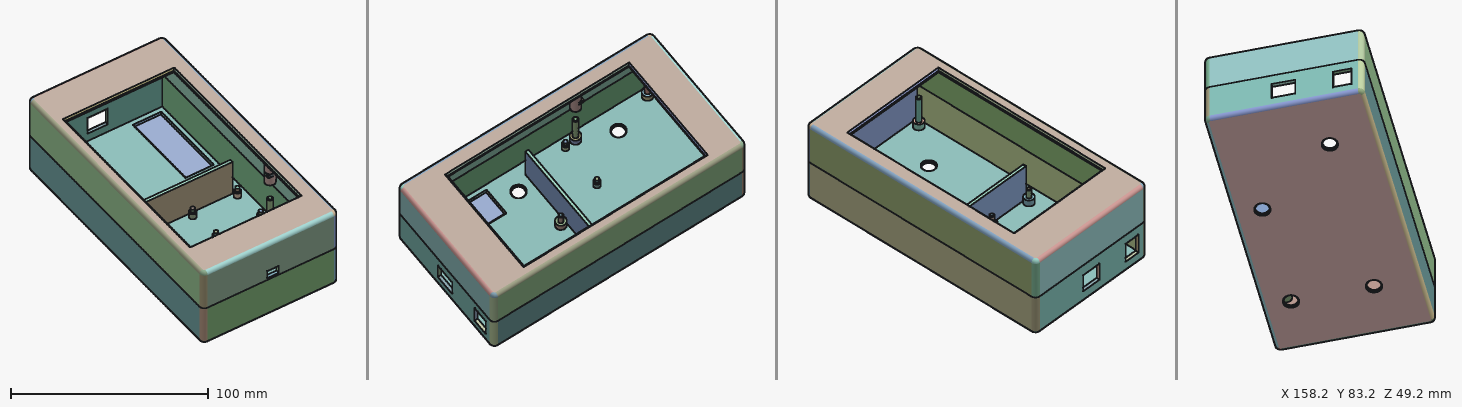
import cadquery as cq

LENGTH = 158.2
WIDTH = 83.2
HEIGHT = 49.2
HALF_HEIGHT = HEIGHT / 2
WALL = 2.0
CORNER_RADIUS = 3.0
EDGE_RADIUS = 2.0
FLOOR_Z = -HALF_HEIGHT + WALL
CEILING_Z = HALF_HEIGHT - WALL

WINDOW_LENGTH = 114.9
WINDOW_WIDTH = 68.2
WINDOW_X = 1.6
WINDOW_Y = -1.6
WINDOW_CHAMFER = 1.0

FLOOR_HOLE_DIAMETER = 7.5
FLOOR_HOLE_CHAMFER = 0.5
FLOOR_HOLE_CENTRES = [(-14.2, 26.5), (48.1, 26.5), (-48.1, -16.6), (48.1, -16.6)]

RECESS_LENGTH = 47.5
RECESS_WIDTH = 17.4
RECESS_RIGHT_X = -26.7
RECESS_FRONT_Y = 19.6
RECESS_DEPTH = 1.0
RECESS_BEVEL = 0.8

PARTITION_THICKNESS = 1.9
PARTITION_X = -4.6
PARTITION_FRONT_Y = -31.2
PARTITION_BACK_Y = 32.7
PARTITION_HEIGHT = 22.0

FOOT_HEIGHT = 4.0
WIDE_FOOT_DIAMETER = 6.0
TIP_CHAMFER = 0.5

TALL_PIN_DIAMETER = 3.2
TALL_PIN_HEIGHT = 20.0
TALL_PIN_LEFT_X = 27.2
TALL_PIN_RIGHT_X = 72.1
TALL_PIN_BACK_Y = 34.8
TALL_PIN_FRONT_Y = -35.3
TALL_PIN_CENTRES = [
    (TALL_PIN_LEFT_X, TALL_PIN_BACK_Y),
    (TALL_PIN_RIGHT_X, TALL_PIN_BACK_Y),
    (TALL_PIN_RIGHT_X, TALL_PIN_FRONT_Y),
]

MEDIUM_PIN_DIAMETER = 2.8
MEDIUM_PIN_HEIGHT = 9.7
MEDIUM_PIN_CENTRES = [(-8.5, -2.2), (-8.5, -29.9)]

SMALL_FOOT_DIAMETER = 4.0
SMALL_FOOT_CHAMFER = 0.5
SMALL_PIN_DIAMETER = 2.4
SMALL_PIN_HEIGHT = 6.0
SMALL_PIN_CENTRES = [(x, y) for x in (-0.8, 20.2) for y in (6.5, 33.9)]

PORT_WIDTH = 12.3
PORT_HEIGHT = 10.8
PORT_Y = 0.2
PORT_Z = -12.0
SIDE_PORT_WIDTH = 9.8
SIDE_PORT_HEIGHT = 12.0
SIDE_PORT_Y = -30.4
SIDE_PORT_Z = -11.9

SLOT_WIDTH = 7.0
SLOT_HEIGHT = 4.7
SLOT_Y = 1.5
SLOT_BOTTOM_Z = 1.3

POST_BOTTOM_Z = 8.7
TAB_LENGTH = 3.0
TAB_BOTTOM_Z = 14.7
TAB_THICKNESS = 1.9


def rounded_box():
    """Solid outer block with rounded upright corners and rounded top and bottom edges."""
    block = cq.Workplane("XY").box(LENGTH, WIDTH, HEIGHT)
    return block.edges("|Z").fillet(CORNER_RADIUS).faces("<Z or >Z").edges().fillet(EDGE_RADIUS)


def shell():
    """Hollow outer box before it is split into base and cover."""
    cavity = cq.Workplane("XY").box(LENGTH - 2 * WALL, WIDTH - 2 * WALL, HEIGHT - 2 * WALL)
    return rounded_box().cut(cavity)


def half_space(middle_z):
    """Block that holds one half of the box in Z."""
    return cq.Workplane("XY").box(LENGTH, WIDTH, HALF_HEIGHT).translate((0, 0, middle_z))


def floor_posts(centres, diameter, height, top_chamfer=0.0):
    """Round posts standing on the floor, with an optional chamfer round their tops."""
    floor = cq.Workplane("XY").workplane(offset=FLOOR_Z).pushPoints(centres)
    posts = floor.circle(diameter / 2).extrude(height)
    if top_chamfer > 0:
        posts = posts.faces(">Z").chamfer(top_chamfer)
    return posts


def tall_supports():
    feet = floor_posts(TALL_PIN_CENTRES, WIDE_FOOT_DIAMETER, FOOT_HEIGHT)
    return feet.union(floor_posts(TALL_PIN_CENTRES, TALL_PIN_DIAMETER, TALL_PIN_HEIGHT, TIP_CHAMFER))


def medium_supports():
    feet = floor_posts(MEDIUM_PIN_CENTRES, WIDE_FOOT_DIAMETER, FOOT_HEIGHT)
    return feet.union(floor_posts(MEDIUM_PIN_CENTRES, MEDIUM_PIN_DIAMETER, MEDIUM_PIN_HEIGHT, TIP_CHAMFER))


def small_supports():
    feet = floor_posts(SMALL_PIN_CENTRES, SMALL_FOOT_DIAMETER, FOOT_HEIGHT, SMALL_FOOT_CHAMFER)
    return feet.union(floor_posts(SMALL_PIN_CENTRES, SMALL_PIN_DIAMETER, SMALL_PIN_HEIGHT))


def floor_holes():
    """Cutter for the floor holes, chamfered at both rims."""
    straight_radius = FLOOR_HOLE_DIAMETER / 2
    rim_radius = straight_radius + FLOOR_HOLE_CHAMFER
    profile = [
        (0, -HALF_HEIGHT),
        (rim_radius, -HALF_HEIGHT),
        (straight_radius, -HALF_HEIGHT + FLOOR_HOLE_CHAMFER),
        (straight_radius, FLOOR_Z - FLOOR_HOLE_CHAMFER),
        (rim_radius, FLOOR_Z),
        (0, FLOOR_Z),
    ]
    hole = cq.Workplane("XZ").polyline(profile).close().revolve(360, (0, 0), (0, 1)).val()
    return cq.Workplane("XY").pushPoints(FLOOR_HOLE_CENTRES).eachpoint(lambda place: hole.moved(place))


def floor_recess():
    """Cutter for the bevelled recess in the floor."""
    recess = cq.Workplane("XY").box(RECESS_LENGTH, RECESS_WIDTH, RECESS_DEPTH, centered=False)
    recess = recess.faces("<Z").chamfer(RECESS_BEVEL)
    corner = (RECESS_RIGHT_X - RECESS_LENGTH, RECESS_FRONT_Y, FLOOR_Z - RECESS_DEPTH)
    return recess.translate(corner)


def partition():
    """Upright wall across the base."""
    depth = PARTITION_BACK_Y - PARTITION_FRONT_Y
    middle_y = (PARTITION_BACK_Y + PARTITION_FRONT_Y) / 2
    wall = cq.Workplane("XY").box(PARTITION_THICKNESS, depth, PARTITION_HEIGHT)
    return wall.translate((PARTITION_X, middle_y, FLOOR_Z + PARTITION_HEIGHT / 2))


def wall_opening(x, y, z, width, height):
    """Cutter for a rectangular opening through an end wall, centred on the given point."""
    return cq.Workplane("XY").box(2 * WALL, width, height).translate((x, y, z))


def make_base():
    base = shell().intersect(half_space(-HALF_HEIGHT / 2))
    base = base.union(partition())
    base = base.union(tall_supports()).union(medium_supports()).union(small_supports())
    base = base.cut(floor_holes()).cut(floor_recess())
    base = base.cut(wall_opening(-LENGTH / 2, PORT_Y, PORT_Z, PORT_WIDTH, PORT_HEIGHT))
    return base.cut(
        wall_opening(-LENGTH / 2, SIDE_PORT_Y, SIDE_PORT_Z, SIDE_PORT_WIDTH, SIDE_PORT_HEIGHT)
    )


def window():
    """Cutter for the cover window, wider at the top by its chamfer."""
    opening = (
        cq.Workplane("XY")
        .workplane(offset=HALF_HEIGHT)
        .center(WINDOW_X, WINDOW_Y)
        .rect(WINDOW_LENGTH - 2 * WINDOW_CHAMFER, WINDOW_WIDTH - 2 * WINDOW_CHAMFER)
        .extrude(-WALL)
    )
    rim = (
        cq.Workplane("XY")
        .workplane(offset=HALF_HEIGHT)
        .center(WINDOW_X, WINDOW_Y)
        .rect(WINDOW_LENGTH, WINDOW_WIDTH)
        .extrude(-WINDOW_CHAMFER, taper=45)
    )
    return opening.union(rim)


def hanging_post(x, y):
    """Round post under the cover with a tab along +X, flush with the post's -Y side."""
    radius = WIDE_FOOT_DIAMETER / 2
    post = cq.Workplane("XY").circle(radius).extrude(CEILING_Z - POST_BOTTOM_Z)
    tab = cq.Workplane("XY").box(TAB_LENGTH, radius, TAB_THICKNESS, centered=False)
    tab = tab.translate((0, -radius, TAB_BOTTOM_Z - POST_BOTTOM_Z))
    return post.union(tab).translate((x, y, POST_BOTTOM_Z))


def make_cover():
    cover = shell().intersect(half_space(HALF_HEIGHT / 2)).cut(window())
    for x, y in TALL_PIN_CENTRES:
        cover = cover.union(hanging_post(x, y))
    slot_middle_z = SLOT_BOTTOM_Z + SLOT_HEIGHT / 2
    return cover.cut(wall_opening(LENGTH / 2, SLOT_Y, slot_middle_z, SLOT_WIDTH, SLOT_HEIGHT))


base = make_base()
cover = make_cover()

result = cq.Compound.makeCompound([base.val(), cover.val()])